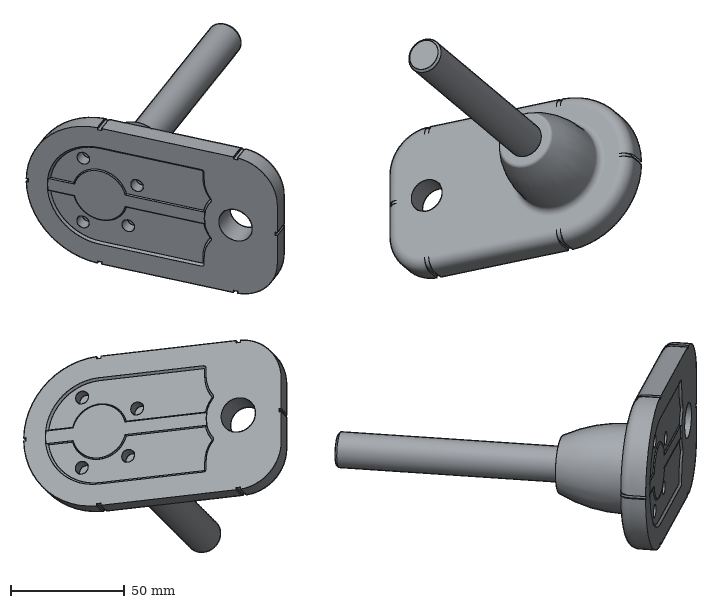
import cadquery as cq
import math


total_length = 145.0
plate_length = 120.0
plate_width = 70.0
plate_thickness = 12.0
edge_radius = 5.0
corner_radius = 20.0
half_width = plate_width / 2
plate_right = plate_length - half_width
plate_middle_x = plate_right - plate_length / 2

hole_x = plate_right - corner_radius
hole_diameter = 16.0
hole_draft = 2.0

notch_depth = 1.0
side_notch_width = 2.0
end_notch_width = 1.5

boss_height = 45.0
boss_radius = 20.0
barrel_curve_radius = 65.0
boss_foot_radius = 3.0
boss_rim_radius = 1.5

rod_diameter = 16.0
rod_chamfer = 1.0

pocket_depth = 1.0
wall_slope = 45.0
pocket_half_width = 25.0
scallop_radius = 15.0
scallop_spacing = 20.0
pocket_corner_radius = 1.5

rib_height = 0.51
rib_width = 6.0
rib_length = 2 * plate_length
disc_radius = 12.5

blind_hole_diameter = 6.0
blind_hole_depth = 6.0
blind_hole_centres = [(-8.1, 17.0), (17.5, 8.8), (13.3, -12.9), (-8.3, -16.0)]


def face_plane(height):
    """Plane parallel to the flat face, with local x = X, local y = Z and normal -Y."""
    return cq.Workplane("XZ", origin=(0, height, 0))


def make_plate_blank(inset):
    """Plate outline drawn in by the inset, with its back edge rounded."""
    end_radius = half_width - inset
    right = plate_right - inset
    corner = corner_radius - inset
    diagonal = corner * math.sqrt(0.5)
    outline = (
        face_plane(0)
        .moveTo(0, end_radius)
        .lineTo(hole_x, end_radius)
        .threePointArc((hole_x + diagonal, end_radius - corner + diagonal), (right, end_radius - corner))
        .lineTo(right, corner - end_radius)
        .threePointArc((hole_x + diagonal, corner - end_radius - diagonal), (hole_x, -end_radius))
        .lineTo(0, -end_radius)
        .threePointArc((-end_radius, 0), (0, end_radius))
        .close()
    )
    return outline.extrude(-plate_thickness).faces(">Y").edges().fillet(edge_radius - inset)


def make_notched_plate():
    """Plate with six notches of even depth that follow the rim and fade out at its back."""
    plate = make_plate_blank(0)
    rim_band = plate.cut(make_plate_blank(notch_depth))
    middle_y = plate_thickness / 2
    side_slabs = (
        cq.Workplane("XY")
        .pushPoints([(0, middle_y), (hole_x, middle_y)])
        .box(side_notch_width, plate_thickness, plate_width)
    )
    end_slab = (
        cq.Workplane("XY")
        .center(plate_middle_x, middle_y)
        .box(plate_length, plate_thickness, end_notch_width)
    )
    return plate.cut(rim_band.intersect(side_slabs)).cut(rim_band.intersect(end_slab))


def make_boss():
    """Barrel-shaped boss with a rounded rim and a concave foot where it meets the plate."""
    foot_top = plate_thickness + boss_foot_radius
    foot_rise = boss_foot_radius * (1 - math.sqrt(0.5))
    barrel_angle = math.asin((boss_height - foot_top) / barrel_curve_radius)

    def barrel_point(angle):
        """Point on the barrel curve, at an angle above the top of the foot."""
        radius = boss_radius - barrel_curve_radius * (1 - math.cos(angle))
        return (radius, foot_top + barrel_curve_radius * math.sin(angle))

    profile = (
        cq.Workplane("XY")
        .moveTo(0, plate_thickness)
        .lineTo(boss_radius + boss_foot_radius, plate_thickness)
        .threePointArc((boss_radius + foot_rise, plate_thickness + foot_rise), (boss_radius, foot_top))
        .threePointArc(barrel_point(barrel_angle / 2), barrel_point(barrel_angle))
        .lineTo(0, boss_height)
        .close()
    )
    boss = profile.revolve(360, (0, 0, 0), (0, 1, 0))
    return boss.faces(">Y").edges().fillet(boss_rim_radius)


def make_pocket():
    """Pocket with a round end, a scalloped end and drafted walls, around a rib and disc."""
    tip_z = scallop_spacing / 2
    tip_x = hole_x - math.sqrt(scallop_radius**2 - tip_z**2)
    end_x = hole_x - scallop_radius
    half_tip_angle = math.asin(tip_z / scallop_radius) / 2
    flank_x = hole_x - scallop_radius * math.cos(half_tip_angle)
    flank_z = scallop_spacing - scallop_radius * math.sin(half_tip_angle)
    outline = (
        face_plane(-pocket_depth)
        .moveTo(0, pocket_half_width)
        .lineTo(end_x, pocket_half_width)
        .lineTo(end_x, scallop_spacing)
        .threePointArc((flank_x, flank_z), (tip_x, tip_z))
        .threePointArc((end_x, 0), (tip_x, -tip_z))
        .threePointArc((flank_x, -flank_z), (end_x, -scallop_spacing))
        .lineTo(end_x, -pocket_half_width)
        .lineTo(0, -pocket_half_width)
        .threePointArc((-pocket_half_width, 0), (0, pocket_half_width))
        .close()
    )
    upright = outline.extrude(-2 * pocket_depth)
    upright = upright.edges("|Y").edges(">X").fillet(pocket_corner_radius)
    for side in (">Z", "<Z"):
        upright = upright.edges("|Y").edges(side).edges(">X").fillet(pocket_corner_radius)
    drafted = upright.faces(">Y").chamfer(pocket_depth)
    rib_drop = pocket_depth - rib_height
    rib_slab = face_plane(0).rect(rib_length, rib_width).extrude(-rib_drop)
    return drafted.union(upright.intersect(rib_slab)).cut(make_rib_and_disc())


def make_rib_and_disc():
    """Straight rib and round disc that stand on the pocket floor and widen towards it."""
    spread = rib_height * math.tan(math.radians(wall_slope))
    rib = face_plane(pocket_depth).rect(rib_length, rib_width + 2 * spread)
    disc = face_plane(pocket_depth).circle(disc_radius + spread)
    return rib.extrude(rib_height, taper=wall_slope).union(disc.extrude(rib_height, taper=wall_slope))


def make_foot():
    """Base plate and boss in one casting, with the pocket and holes cut from the flat face."""
    foot = make_notched_plate().union(make_boss()).cut(make_pocket())
    hole_circle = face_plane(0).center(hole_x, 0).circle(hole_diameter / 2)
    through_hole = hole_circle.extrude(-plate_thickness, taper=hole_draft)
    blind_holes = (
        face_plane(0)
        .pushPoints(blind_hole_centres)
        .circle(blind_hole_diameter / 2)
        .extrude(-pocket_depth - blind_hole_depth)
    )
    return foot.cut(through_hole).cut(blind_holes)


def make_rod():
    """Plain rod standing on the boss, chamfered at its free end."""
    rod = face_plane(boss_height).circle(rod_diameter / 2).extrude(boss_height - total_length)
    return rod.faces(">Y").edges().chamfer(rod_chamfer)


foot = make_foot()
rod = make_rod()
result = cq.Compound.makeCompound([foot.val(), rod.val()])